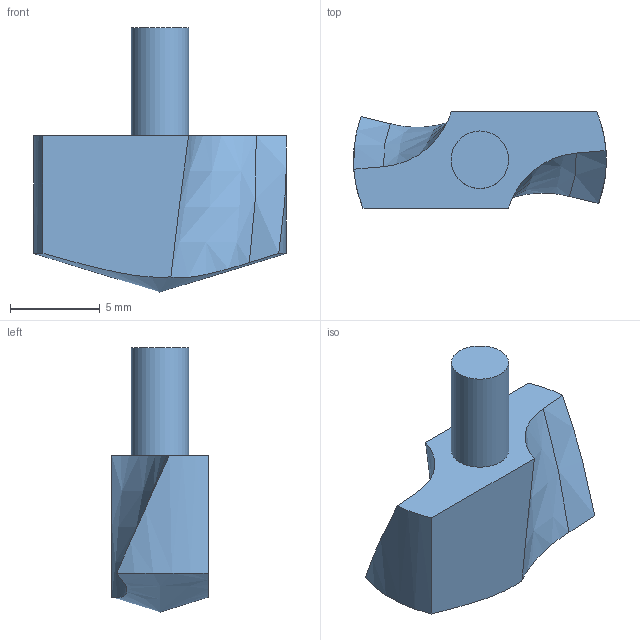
import cadquery as cq
import math

shank_diameter = 3.2
shank_length = 6.0

blade_diameter = 14.08
blade_thickness = 5.37
total_length = 14.7
point_slope_deg = 17.0

blade_radius = blade_diameter / 2
point_height = blade_radius * math.tan(math.radians(point_slope_deg))
blade_length = total_length - shank_length
rim_length = blade_length - point_height

flute_arc_radius = 4.3
face_slope_deg = 4.8
face_start_x = 5.36
face_start_y = 0.38
twist_per_mm = 3.71
flute_count = 2
flute_reach = 2.0


def make_blade():
    """Pointed round body, flattened to a blade between two faces parallel to XZ."""
    half_section = [
        (0, 0),
        (blade_radius, 0),
        (blade_radius, -rim_length),
        (0, -blade_length),
    ]
    round_body = cq.Workplane("XZ").polyline(half_section).close().revolve(360, (0, 0), (0, 1))
    slab = cq.Workplane("XY").box(
        blade_diameter, blade_thickness, blade_length, centered=(True, True, False)
    ).translate((0, 0, -blade_length))
    return round_body.intersect(slab)


def make_flute_cutter():
    """Helical cutter for the flute on the +X, -Y side, from the shoulder to the tip."""
    slope = math.radians(face_slope_deg)
    center_x = face_start_x + flute_arc_radius * math.sin(slope)
    center_y = face_start_y - flute_arc_radius * math.cos(slope)

    middle_angle = (math.pi / 2 + slope + math.pi) / 2
    arc_middle = (
        center_x + flute_arc_radius * math.cos(middle_angle),
        center_y + flute_arc_radius * math.sin(middle_angle),
    )
    arc_end = (center_x - flute_arc_radius, center_y)

    outer_x = blade_radius + flute_reach
    face_end_y = face_start_y + (outer_x - face_start_x) * math.tan(slope)
    section = (
        cq.Workplane("XY")
        .moveTo(outer_x, face_end_y)
        .lineTo(face_start_x, face_start_y)
        .threePointArc(arc_middle, arc_end)
        .lineTo(outer_x, center_y)
        .close()
    )
    return section.twistExtrude(-blade_length, twist_per_mm * blade_length)


def make_shank():
    return cq.Workplane("XY").circle(shank_diameter / 2).extrude(shank_length)


result = make_blade()
flute_cutter = make_flute_cutter()
for flute_index in range(flute_count):
    flute_angle = flute_index * 360 / flute_count
    result = result.cut(flute_cutter.rotate((0, 0, 0), (0, 0, 1), flute_angle))
result = result.union(make_shank())